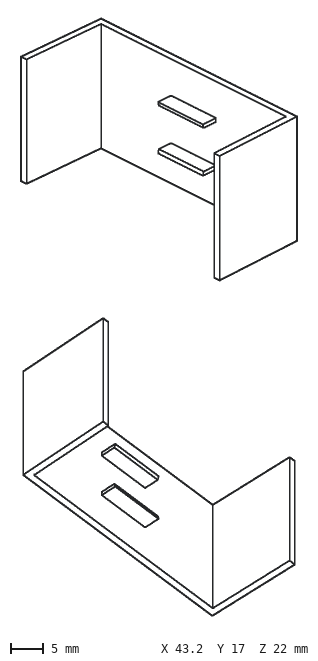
import cadquery as cq
import math

length = 43.2
depth = 17.0
height = 22.0
wall = 1.2
leg_splay = 1.0

rib_length = 9.75
rib_thickness = 0.7
rib_reach = 2.8
rib_gap = 7.7
rib_tip_radius = 2.0
rib_tip_start_tilt = 3.5

half_tip = length / 2
splay_slope = math.tan(math.radians(leg_splay))
leg_width = wall / math.cos(math.radians(leg_splay))
back_face = depth / 2
inner_face = back_face - wall
tip_face = -depth / 2


def outer_half(y):
    """Half-length of the channel's outside at depth position y."""
    return half_tip - (y - tip_face) * splay_slope


def make_channel():
    """U-shaped channel: flat back wall with two slightly splayed legs."""
    tip_inner = outer_half(tip_face) - leg_width
    root_inner = outer_half(inner_face) - leg_width
    outline = [
        (-half_tip, tip_face),
        (-outer_half(back_face), back_face),
        (outer_half(back_face), back_face),
        (half_tip, tip_face),
        (tip_inner, tip_face),
        (root_inner, inner_face),
        (-root_inner, inner_face),
        (-tip_inner, tip_face),
    ]
    return cq.Workplane("XY").polyline(outline).close().extrude(height / 2, both=True)


def make_lower_rib():
    """Rib on the inner wall; its tip curves back toward the face nearest the other rib."""
    top = -rib_gap / 2
    bottom = top - rib_thickness
    tip = inner_face - rib_reach
    start_angle = math.radians(rib_tip_start_tilt)
    end_angle = math.asin(math.sin(start_angle) + rib_thickness / rib_tip_radius)

    def on_arc(angle):
        """Point (y, z) on the tip arc, which starts at the rib's outer edge."""
        return (
            tip + rib_tip_radius * (math.cos(start_angle) - math.cos(angle)),
            bottom + rib_tip_radius * (math.sin(angle) - math.sin(start_angle)),
        )

    return (
        cq.Workplane("YZ")
        .moveTo(back_face, bottom)
        .lineTo(tip, bottom)
        .threePointArc(on_arc((start_angle + end_angle) / 2), on_arc(end_angle))
        .lineTo(back_face, top)
        .close()
        .extrude(rib_length / 2, both=True)
    )


lower_rib = make_lower_rib()
upper_rib = lower_rib.mirror("XY")
result = make_channel().union(lower_rib).union(upper_rib)